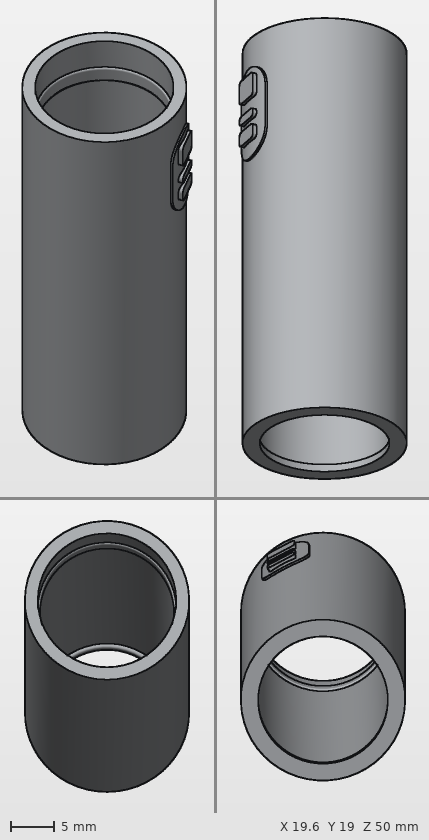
import cadquery as cq
import math

LENGTH = 50.0
OUTER_DIA = 19.0
BORE_DIA = 16.0
LIP_DIA = 15.5
LIP_TOP_Z = 46.0
LIP_HEIGHT = 2.0
LEDGE_DIA = 15.0
LEDGE_HEIGHT = 1.0
ROUND_RADIUS = 0.25

PLATE_THICKNESS = 0.25
PLATE_WIDTH = 6.1
PLATE_HEIGHT = 11.55
PLATE_CENTER_Z = 40.2

PAD_FACE_X = 10.1
PAD_WIDTH = 3.5
PAD_CENTER_Y = -0.15
PAD_SPANS = [(43.4, 2.95), (39.75, 1.1), (37.4, 1.8)]
PAD_CORNER_RADIUS = 0.5

OUTER_RADIUS = OUTER_DIA / 2
PLATE_RADIUS = OUTER_RADIUS + PLATE_THICKNESS


def cylinder(diameter, bottom, top):
    return cq.Workplane("XY").workplane(offset=bottom).circle(diameter / 2).extrude(top - bottom)


def make_lip():
    """Thin ring inside the bore with rounded inner edges."""
    lip_bottom_z = LIP_TOP_Z - LIP_HEIGHT
    bore_radius = BORE_DIA / 2
    lip_radius = LIP_DIA / 2
    arc_offset = ROUND_RADIUS * (1 - math.sqrt(0.5))
    profile = (
        cq.Workplane("XZ")
        .moveTo(OUTER_RADIUS, lip_bottom_z)
        .lineTo(bore_radius, lip_bottom_z)
        .threePointArc(
            (lip_radius + arc_offset, lip_bottom_z + arc_offset),
            (lip_radius, lip_bottom_z + ROUND_RADIUS),
        )
        .lineTo(lip_radius, LIP_TOP_Z - ROUND_RADIUS)
        .threePointArc(
            (lip_radius + arc_offset, LIP_TOP_Z - arc_offset),
            (bore_radius, LIP_TOP_Z),
        )
        .lineTo(OUTER_RADIUS, LIP_TOP_Z)
        .close()
    )
    return profile.revolve(360, (0, 0), (0, 1))


def make_ledge():
    """Ring at the bottom end of the bore with a rounded upper inner edge."""
    ring = cylinder(OUTER_DIA, 0, LEDGE_HEIGHT).cut(cylinder(LEDGE_DIA, 0, LEDGE_HEIGHT))
    inner_edge = cq.selectors.RadiusNthSelector(0)
    return ring.faces(">Z").edges(inner_edge).fillet(ROUND_RADIUS)


def make_tube():
    """Bored tube with the lip near its mouth and the ledge at its foot."""
    wall = cylinder(OUTER_DIA, 0, LENGTH).cut(cylinder(BORE_DIA, 0, LENGTH))
    return wall.union(make_lip()).union(make_ledge())


def make_plate():
    """Stadium outline projected along X onto a thin shell around the tube."""
    shell = cylinder(2 * PLATE_RADIUS, 0, LENGTH).cut(cylinder(OUTER_DIA, 0, LENGTH))
    outline = (
        cq.Workplane("YZ")
        .center(0, PLATE_CENTER_Z)
        .slot2D(PLATE_HEIGHT, PLATE_WIDTH, 90)
        .extrude(PAD_FACE_X)
    )
    return shell.intersect(outline)


def make_pad(center_z, height):
    """Rounded block with a flat front and a back that follows the plate."""
    block = (
        cq.Workplane("YZ")
        .center(PAD_CENTER_Y, center_z)
        .rect(PAD_WIDTH, height)
        .extrude(PAD_FACE_X)
        .edges("|X")
        .fillet(PAD_CORNER_RADIUS)
    )
    return block.cut(cylinder(2 * PLATE_RADIUS, 0, LENGTH))


tube = make_tube()
plate = make_plate()
pads = [make_pad(center_z, height) for center_z, height in PAD_SPANS]

result = cq.Compound.makeCompound([tube.val(), plate.val(), *[pad.val() for pad in pads]])